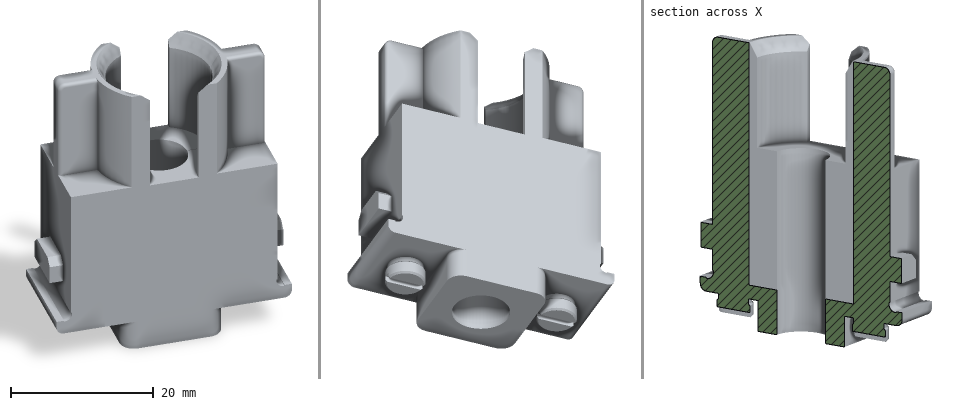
import cadquery as cq
import math

WIDTH = 14.6
HEIGHT = 41.75
FLANGE_HALF = 17.25
BODY_HALF = 15.15

FLANGE_BOTTOM = 4.45
FLANGE_TOP = 6.55
SHOULDER = 26.8
SOCKET_FLOOR = 26.65

LIP_RADIUS = 1.1
RELIEF_RADIUS = 1.0
RELIEF_INSET = 0.15
RELIEF_BOTTOM = 6.45
RELIEF_HEIGHT = 1.25
RELIEF_RUN_OUT = 0.15

SOCKET_OUTER_RADIUS = 9.6
SOCKET_RADIUS = 7.5
MOUTH_RADIUS = 8.75
MOUTH_DEPTH = 2.0
SLOT_HALF = 3.55

RIB_WIDTH = 3.0
RIB_SIDE_ROUND = 0.5
RIB_END_ROUND = 1.0

BORE_RADIUS = 4.1
GROOVE_WIDTH = 0.13
GROOVE_HALF = 8.9
GROOVE_BOTTOM = FLANGE_TOP

LUG_WIDTH = 7.2
LUG_BOTTOM = 10.75
LUG_TOP = 14.4
LUG_END = 17.1
LUG_CHAMFER = 1.05

SPIGOT_HALF = 7.4
SPIGOT_CORNER_RADIUS = 2.1

SCREW_OFFSET = 11.52
SCREW_RADIUS = 2.85
COLLAR_RADIUS = 2.65
HEAD_TOP = 3.75
HEAD_BOTTOM = 1.65
HEAD_CHAMFER = 0.25
DRIVER_SLOT_WIDTH = 1.0
DRIVER_SLOT_DEPTH = 0.85


def box_between(x_half, y_min, y_max, z_min, z_max):
    """Box centred on X = 0 between the given Y and Z limits."""
    box = cq.Workplane("XY").box(2 * x_half, y_max - y_min, z_max - z_min, centered=(True, False, False))
    return box.translate((0, y_min, z_min))


def cylinder(radius, z_min, z_max):
    return cq.Workplane("XY").workplane(offset=z_min).circle(radius).extrude(z_max - z_min)


def at_both_ends(shape):
    """Join a shape made at the +Y end with its mirror image at the -Y end."""
    return shape.union(shape.mirror("XZ"))


def half_block():
    """Block from the middle to the +Y end, with its lip and relief groove."""
    relief_wall = BODY_HALF - RELIEF_INSET
    relief_center_y = relief_wall + RELIEF_RADIUS
    relief_center_z = RELIEF_BOTTOM + RELIEF_RADIUS
    diagonal = RELIEF_RADIUS * math.sqrt(0.5)
    relief_top = RELIEF_BOTTOM + RELIEF_HEIGHT
    lip_start = relief_center_y + RELIEF_RUN_OUT
    profile = (
        cq.Workplane("YZ")
        .moveTo(0, FLANGE_BOTTOM)
        .lineTo(FLANGE_HALF - LIP_RADIUS, FLANGE_BOTTOM)
        .radiusArc((FLANGE_HALF, FLANGE_BOTTOM + LIP_RADIUS), -LIP_RADIUS)
        .lineTo(FLANGE_HALF, FLANGE_TOP)
        .lineTo(lip_start, FLANGE_TOP)
        .lineTo(lip_start, RELIEF_BOTTOM)
        .lineTo(relief_center_y, RELIEF_BOTTOM)
        .threePointArc(
            (relief_center_y - diagonal, relief_center_z - diagonal),
            (relief_wall, relief_center_z),
        )
        .lineTo(relief_wall, relief_top)
        .lineTo(BODY_HALF, relief_top)
        .lineTo(BODY_HALF, SHOULDER)
        .lineTo(0, SHOULDER)
        .close()
    )
    return profile.extrude(WIDTH / 2, both=True)


def socket_wall():
    """Round socket wall, trimmed flush with the sides of the block."""
    wall = cylinder(SOCKET_OUTER_RADIUS, SHOULDER, HEIGHT)
    sides = box_between(WIDTH / 2, -SOCKET_OUTER_RADIUS, SOCKET_OUTER_RADIUS, SHOULDER, HEIGHT)
    return wall.intersect(sides)


def rib():
    """Rib from the socket wall to the +Y end of the block, with rounded edges."""
    bar = box_between(RIB_WIDTH / 2, SOCKET_RADIUS, BODY_HALF, SHOULDER, HEIGHT)
    bar = bar.edges(">Y and >Z").fillet(RIB_END_ROUND)
    side_edges = bar.faces("<X or >X").edges("not (<Y or <Z)")
    return side_edges.fillet(RIB_SIDE_ROUND)


def socket_cavity():
    """Socket with a tapered mouth, plus the slot that opens it to both sides."""
    bore = cylinder(SOCKET_RADIUS, SOCKET_FLOOR, HEIGHT)
    mouth_base = cq.Vector(0, 0, HEIGHT - MOUTH_DEPTH)
    mouth = cq.Solid.makeCone(SOCKET_RADIUS, MOUTH_RADIUS, MOUTH_DEPTH, pnt=mouth_base)
    slot = box_between(WIDTH / 2, -SLOT_HALF, SLOT_HALF, SOCKET_FLOOR, HEIGHT)
    return bore.union(cq.Workplane(mouth)).union(slot)


def lug():
    """Latch lug on the +Y end with its upper corners cut off."""
    block = box_between(LUG_WIDTH / 2, 0, LUG_END, LUG_BOTTOM, LUG_TOP)
    return block.edges("|Y and >Z").chamfer(LUG_CHAMFER)


def spigot():
    block = box_between(WIDTH / 2, -SPIGOT_HALF, SPIGOT_HALF, 0, FLANGE_BOTTOM)
    return block.edges("|Z").fillet(SPIGOT_CORNER_RADIUS)


def screw():
    """Slotted screw head on its collar, under the +Y lip."""
    head = cylinder(SCREW_RADIUS, HEAD_BOTTOM, HEAD_TOP).edges().chamfer(HEAD_CHAMFER)
    collar = cylinder(COLLAR_RADIUS, HEAD_TOP, FLANGE_BOTTOM)
    driver_slot = box_between(
        DRIVER_SLOT_WIDTH / 2, -SCREW_RADIUS, SCREW_RADIUS, HEAD_BOTTOM, HEAD_BOTTOM + DRIVER_SLOT_DEPTH
    )
    return head.union(collar).cut(driver_slot).translate((0, SCREW_OFFSET, 0))


cable_bore = cylinder(BORE_RADIUS, 0, SOCKET_FLOOR)
bore_groove = box_between(GROOVE_WIDTH / 2, -GROOVE_HALF, GROOVE_HALF, GROOVE_BOTTOM, HEIGHT)

result = (
    at_both_ends(half_block())
    .union(socket_wall())
    .union(at_both_ends(rib()))
    .union(at_both_ends(lug()))
    .union(spigot())
    .union(at_both_ends(screw()))
    .cut(socket_cavity())
    .cut(cable_bore)
    .cut(bore_groove)
)